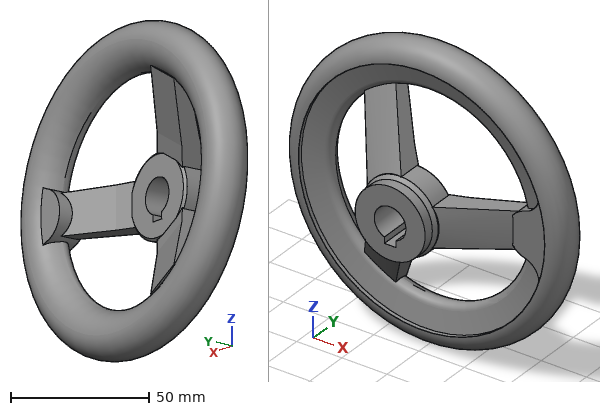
import cadquery as cq
import math

WHEEL_RADIUS = 62.5
RIM_DEPTH = 16.2
RIM_ROUND = RIM_DEPTH / 2
RIM_OPENING_RADIUS = 43.7
RECESS_RADIUS = 54.5
RECESS_STEP = 1.9
LIP_RADIUS = 46.1
LIP_DEPTH = 4.1
OPENING_DEPTH = 8.1

TOTAL_DEPTH = 36.0
HUB_FRONT = RIM_DEPTH - TOTAL_DEPTH
HUB_NOSE_RADIUS = 15.5
HUB_NOSE_LENGTH = 4.5
HUB_RADIUS = 16.6
HUB_FLARE = 2.0
HUB_BACK = -2.2
HUB_CHAMFER = 1.0
BORE_RADIUS = 7.0
KEYWAY_WIDTH = 5.0
KEYWAY_REACH = 9.2

SPOKE_COUNT = 3
SPOKE_INNER_RADIUS = 13.1
SPOKE_BEND_RADIUS = 21.2
SPOKE_OUTER_RADIUS = 45.0
SPOKE_INNER_WIDTH = 17.4
SPOKE_OUTER_WIDTH = 16.0
SPOKE_INNER_CROWN = 0.7
SPOKE_OUTER_CROWN = 0.1
SPOKE_FRONT_CROSSING = 36.2
SPOKE_FRONT_SLOPE = 0.64
SPOKE_BACK_BEND = 0.2
SPOKE_BACK_INNER_SLOPE = 0.4
SPOKE_BACK_OUTER_SLOPE = 0.52

BOSS_CENTER = 47.0
BOSS_RADIUS = 10.2
BOSS_BACK = 14.1
FLARE_RADIUS = 8.2
FLARE_CENTER_X = 42.2


def revolve_about_y(profile):
    return profile.close().revolve(360, (0, 0, 0), (0, 1, 0))


def make_rim():
    center_radius = WHEEL_RADIUS - RIM_ROUND
    profile = (
        cq.Workplane("XY")
        .moveTo(center_radius, 0)
        .threePointArc((WHEEL_RADIUS, RIM_ROUND), (center_radius, RIM_DEPTH))
        .tangentArcPoint((RIM_OPENING_RADIUS, OPENING_DEPTH), relative=False)
        .tangentArcPoint((LIP_RADIUS, LIP_DEPTH), relative=False)
        .lineTo(RECESS_RADIUS, RECESS_STEP)
        .lineTo(RECESS_RADIUS, 0)
    )
    return revolve_about_y(profile)


def make_hub():
    nose_end = HUB_FRONT + HUB_NOSE_LENGTH
    profile = (
        cq.Workplane("XY")
        .moveTo(0, HUB_FRONT)
        .lineTo(HUB_NOSE_RADIUS, HUB_FRONT)
        .lineTo(HUB_NOSE_RADIUS, nose_end)
        .lineTo(HUB_RADIUS, nose_end + HUB_FLARE)
        .lineTo(HUB_RADIUS, HUB_BACK - HUB_CHAMFER)
        .lineTo(HUB_RADIUS - HUB_CHAMFER, HUB_BACK)
        .lineTo(0, HUB_BACK)
    )
    return revolve_about_y(profile)


def make_spoke_section(radius, width, crown):
    """Cross-section of the +X spoke blank: crowned front, sides running to the rim back."""
    front = (radius - SPOKE_FRONT_CROSSING) * SPOKE_FRONT_SLOPE
    return (
        cq.Workplane("YZ", origin=(radius, 0, 0))
        .moveTo(RIM_DEPTH, -width / 2)
        .lineTo(front + crown, -width / 2)
        .threePointArc((front, 0), (front + crown, width / 2))
        .lineTo(RIM_DEPTH, width / 2)
        .close()
        .wire()
        .val()
    )


def make_spoke():
    """Spoke along +X: a tapered blank trimmed at the back to the bent side outline."""
    inner = make_spoke_section(SPOKE_INNER_RADIUS, SPOKE_INNER_WIDTH, SPOKE_INNER_CROWN)
    outer = make_spoke_section(SPOKE_OUTER_RADIUS, SPOKE_OUTER_WIDTH, SPOKE_OUTER_CROWN)
    blank = cq.Workplane(cq.Solid.makeLoft([inner, outer], True))
    inner_run = SPOKE_BEND_RADIUS - SPOKE_INNER_RADIUS
    outer_run = SPOKE_OUTER_RADIUS - SPOKE_BEND_RADIUS
    side = (
        cq.Workplane("XY")
        .moveTo(SPOKE_INNER_RADIUS, HUB_FRONT)
        .lineTo(SPOKE_INNER_RADIUS, SPOKE_BACK_BEND - inner_run * SPOKE_BACK_INNER_SLOPE)
        .lineTo(SPOKE_BEND_RADIUS, SPOKE_BACK_BEND)
        .lineTo(SPOKE_OUTER_RADIUS, SPOKE_BACK_BEND + outer_run * SPOKE_BACK_OUTER_SLOPE)
        .lineTo(SPOKE_OUTER_RADIUS, HUB_FRONT)
        .close()
        .extrude(SPOKE_INNER_WIDTH, both=True)
    )
    return blank.intersect(side)


def make_boss():
    """Round boss at the end of the +X spoke, flaring into the rim with tangent fillets."""
    center_distance = BOSS_RADIUS + FLARE_RADIUS
    flare_z = math.sqrt(center_distance**2 - (BOSS_CENTER - FLARE_CENTER_X) ** 2)
    tangent_share = BOSS_RADIUS / center_distance
    tangent_x = BOSS_CENTER + tangent_share * (FLARE_CENTER_X - BOSS_CENTER)
    tangent_z = tangent_share * flare_z
    diagonal = FLARE_RADIUS * math.sqrt(0.5)
    middle_x = FLARE_CENTER_X + diagonal
    middle_z = flare_z - diagonal
    flare_end_x = FLARE_CENTER_X + FLARE_RADIUS
    wall_z = math.sqrt(RECESS_RADIUS**2 - flare_end_x**2)
    outline = (
        cq.Workplane("XZ", origin=(0, RECESS_STEP, 0))
        .moveTo(tangent_x, -tangent_z)
        .threePointArc((BOSS_CENTER - BOSS_RADIUS, 0), (tangent_x, tangent_z))
        .threePointArc((middle_x, middle_z), (flare_end_x, flare_z))
        .lineTo(flare_end_x, wall_z)
        .threePointArc((RECESS_RADIUS, 0), (flare_end_x, -wall_z))
        .lineTo(flare_end_x, -flare_z)
        .threePointArc((middle_x, -middle_z), (tangent_x, -tangent_z))
        .close()
    )
    return outline.extrude(RECESS_STEP - BOSS_BACK)


def make_bore():
    hub_length = HUB_BACK - HUB_FRONT
    bore = cq.Workplane("XZ", origin=(0, HUB_BACK, 0)).circle(BORE_RADIUS).extrude(hub_length)
    keyway = cq.Workplane("XY").box(
        KEYWAY_WIDTH, hub_length, KEYWAY_REACH, centered=(True, False, False)
    ).translate((0, HUB_FRONT, -KEYWAY_REACH))
    return bore.union(keyway)


result = make_rim().union(make_hub())
for index in range(SPOKE_COUNT):
    angle = index * 360 / SPOKE_COUNT
    result = result.union(make_spoke().rotate((0, 0, 0), (0, 1, 0), angle))
result = result.union(make_boss())
result = result.cut(make_bore())